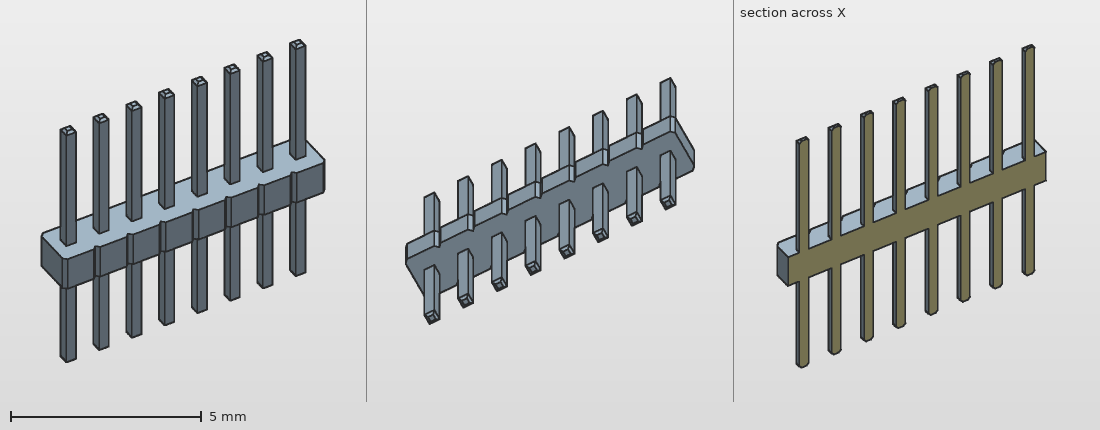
import cadquery as cq

pin_count = 8
pitch = 1.0

body_width = 1.27
body_height = 1.0
corner_chamfer = 0.1

pin_width = 0.3
pin_above_body = 3.8
pin_below_body = 3.0
tip_chamfer = pin_width / 4

pin_length = pin_below_body + body_height + pin_above_body
pin_centres = [(0, (i - (pin_count - 1) / 2) * pitch) for i in range(pin_count)]


def make_body_cell(centre):
    """One pitch of the body: a block with its four vertical edges chamfered."""
    block = cq.Workplane("XY").box(body_width, pitch, body_height, centered=(True, True, False))
    return block.edges("|Z").chamfer(corner_chamfer).translate((*centre, 0))


def make_pin(centre):
    """One square pin with all edges of both end faces chamfered."""
    bar = cq.Workplane("XY").box(pin_width, pin_width, pin_length, centered=(True, True, False))
    return bar.faces("<Z or >Z").chamfer(tip_chamfer).translate((*centre, -pin_below_body))


header = cq.Workplane("XY")
for pin_centre in pin_centres:
    header = header.union(make_body_cell(pin_centre)).union(make_pin(pin_centre))

result = header.clean()